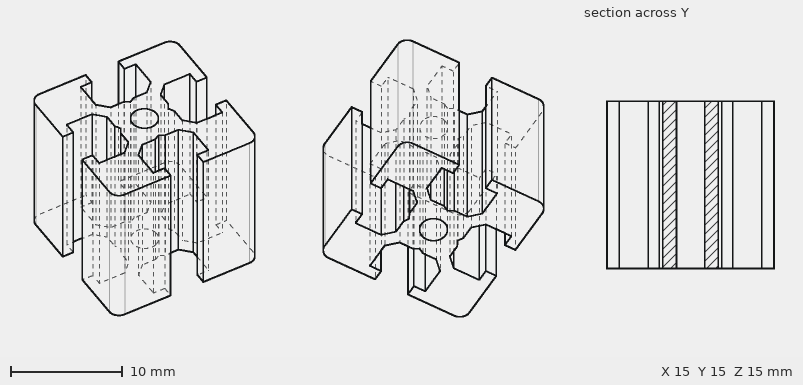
import cadquery as cq

side = 15.0
length = 15.0
corner_radius = 1.0
bore_diameter = 2.5

mouth_width = 3.39
lip_thickness = 1.1
slot_width = 5.73
core_width = 5.58
floor_chamfer = 0.98

groove_width = 1.05
groove_depth = 0.3

slot_count = 4


def make_bar():
    """Solid square bar with rounded long edges."""
    bar = cq.Workplane("XY").rect(side, side).extrude(length)
    return bar.edges("|Z").fillet(corner_radius)


def make_slot():
    """Cutter for the T-slot that opens toward +Y, including its floor groove."""
    outer_y = side / 2
    lip_y = outer_y - lip_thickness
    floor_y = core_width / 2
    right_half = [
        (mouth_width / 2, outer_y),
        (mouth_width / 2, lip_y),
        (slot_width / 2, lip_y),
        (slot_width / 2, floor_y + floor_chamfer),
        (slot_width / 2 - floor_chamfer, floor_y),
        (groove_width / 2, floor_y),
    ]
    groove_bottom = (0, floor_y - groove_depth)
    left_half = [(-x, y) for x, y in reversed(right_half)]
    outline = right_half + [groove_bottom] + left_half
    return cq.Workplane("XY").polyline(outline).close().extrude(length)


def make_bore():
    """Cutter for the round hole through the core."""
    return cq.Workplane("XY").circle(bore_diameter / 2).extrude(length)


result = make_bar().cut(make_bore())
slot = make_slot()
for index in range(slot_count):
    angle = index * 360 / slot_count
    result = result.cut(slot.rotate((0, 0, 0), (0, 0, 1), angle))